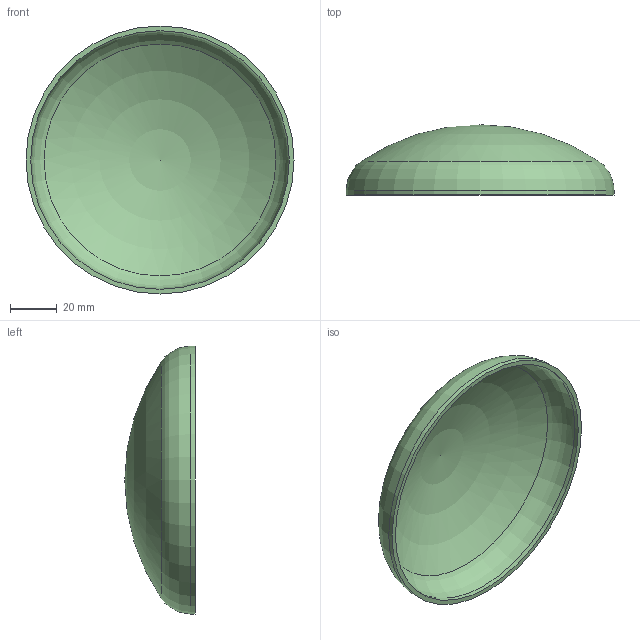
import cadquery as cq
import math

outer_diameter = 114.3
total_height = 30.0
wall = 2.0
flange_length = 2.0
knuckle_radius = 15.0

outer_radius = outer_diameter / 2
dish_height = total_height - flange_length
knuckle_center_x = outer_radius - knuckle_radius

crown_radius = (knuckle_center_x**2 + dish_height**2 - knuckle_radius**2) / (
    2 * (dish_height - knuckle_radius)
)
crown_center_y = total_height - crown_radius
seam_angle = math.asin(knuckle_center_x / (crown_radius - knuckle_radius))


def crown_point(offset, angle):
    """Point on the crown, offset inward, at an angle from the Y axis."""
    radius = crown_radius - offset
    return (radius * math.sin(angle), crown_center_y + radius * math.cos(angle))


def knuckle_point(offset, angle):
    """Point on the knuckle, offset inward, at an angle from the Y axis."""
    radius = knuckle_radius - offset
    return (knuckle_center_x + radius * math.sin(angle), flange_length + radius * math.cos(angle))


def dish_solid(offset):
    """Solid bounded by the outer surface moved inward by the offset, closed at the rim plane."""
    knuckle_middle_angle = (seam_angle + math.pi / 2) / 2
    profile = (
        cq.Workplane("XY")
        .lineTo(outer_radius - offset, 0)
        .lineTo(outer_radius - offset, flange_length)
        .threePointArc(knuckle_point(offset, knuckle_middle_angle), crown_point(offset, seam_angle))
        .threePointArc(crown_point(offset, seam_angle / 2), crown_point(offset, 0))
        .close()
    )
    return profile.revolve(360, (0, 0, 0), (0, 1, 0))


result = dish_solid(0).cut(dish_solid(wall))